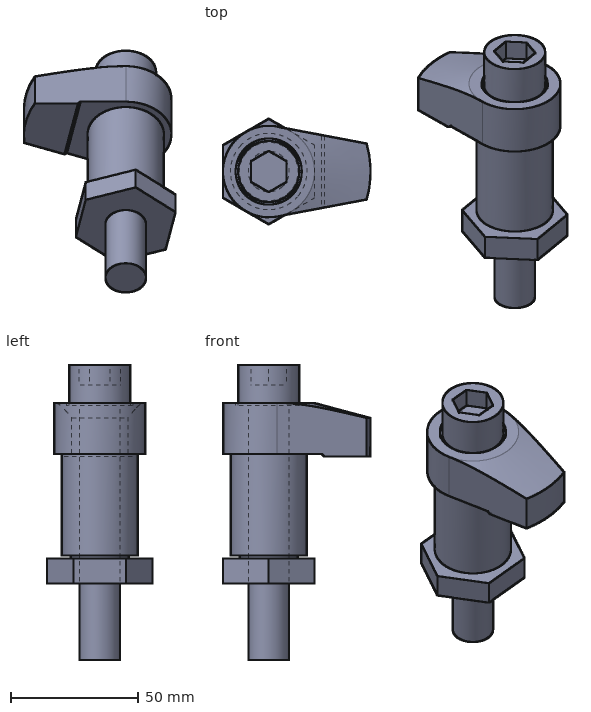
import cadquery as cq
import math

OVERALL_HEIGHT = 116.0
NUT_BOTTOM = 30.0
NUT_THICKNESS = 10.0
COLLAR_HEIGHT = 1.0
SHANK_LENGTH = 39.9
HOOK_HEIGHT = 20.1
SCREW_HEAD_HEIGHT = 16.0

NUT_TOP = NUT_BOTTOM + NUT_THICKNESS
SHANK_BOTTOM = NUT_TOP + COLLAR_HEIGHT
HOOK_BOTTOM = SHANK_BOTTOM + SHANK_LENGTH
HOOK_TOP = HOOK_BOTTOM + HOOK_HEIGHT
SEAT_Z = OVERALL_HEIGHT - SCREW_HEAD_HEIGHT

SCREW_DIAMETER = 16.0
SCREW_HEAD_DIAMETER = 24.0
SOCKET_ACROSS_FLATS = 14.0
SOCKET_DEPTH = 8.0
NUT_ACROSS_FLATS = 36.0
COLLAR_DIAMETER = 23.0
SHANK_DIAMETER = 30.0
SEAT_DIAMETER = 26.0
HUB_RADIUS = NUT_ACROSS_FLATS / 2

ARM_REACH = 40.0
TIP_HALF_WIDTH = 11.0
ARM_SLOPE_DEGREES = 15.0
PAD_START = 21.8
PAD_DROP = 1.0


def cylinder(diameter, bottom, top):
    return cq.Workplane("XY", origin=(0, 0, bottom)).circle(diameter / 2).extrude(top - bottom)


def hexagon(across_flats, bottom, top):
    """Hexagonal prism with corners on the Y axis."""
    across_corners = across_flats / math.cos(math.radians(30))
    prism = cq.Workplane("XY").polygon(6, across_corners).extrude(top - bottom)
    return prism.rotate((0, 0, 0), (0, 0, 1), 30).translate((0, 0, bottom))


def make_screw():
    head = cylinder(SCREW_HEAD_DIAMETER, SEAT_Z, OVERALL_HEIGHT)
    socket = hexagon(SOCKET_ACROSS_FLATS, OVERALL_HEIGHT - SOCKET_DEPTH, OVERALL_HEIGHT)
    return cylinder(SCREW_DIAMETER, 0, SEAT_Z).union(head).cut(socket)


def make_nut():
    nut = hexagon(NUT_ACROSS_FLATS, NUT_BOTTOM, NUT_TOP)
    nut = nut.union(cylinder(COLLAR_DIAMETER, NUT_TOP, SHANK_BOTTOM))
    return nut.cut(cylinder(SCREW_DIAMETER, NUT_BOTTOM, SHANK_BOTTOM))


def hook_outline():
    """Round hub with tangent sides running to a tip that is an arc about the screw axis."""
    tip_x = math.sqrt(ARM_REACH**2 - TIP_HALF_WIDTH**2)
    tangent_angle = math.atan2(TIP_HALF_WIDTH, tip_x) + math.acos(HUB_RADIUS / ARM_REACH)
    tangent_x = HUB_RADIUS * math.cos(tangent_angle)
    tangent_y = HUB_RADIUS * math.sin(tangent_angle)
    return (
        cq.Workplane("XY")
        .moveTo(tangent_x, -tangent_y)
        .lineTo(tip_x, -TIP_HALF_WIDTH)
        .threePointArc((ARM_REACH, 0), (tip_x, TIP_HALF_WIDTH))
        .lineTo(tangent_x, tangent_y)
        .threePointArc((-HUB_RADIUS, 0), (tangent_x, -tangent_y))
        .close()
    )


def pad_relief():
    """Space under the hook that leaves only the pad at the tip, with a 45 degree step."""
    pad_bottom = HOOK_BOTTOM - PAD_DROP
    return (
        cq.Workplane("XZ")
        .moveTo(-ARM_REACH, pad_bottom)
        .lineTo(PAD_START, pad_bottom)
        .lineTo(PAD_START - PAD_DROP, HOOK_BOTTOM)
        .lineTo(-ARM_REACH, HOOK_BOTTOM)
        .close()
        .extrude(ARM_REACH, both=True)
    )


def arm_slope():
    """Ring above the cone that falls from the hub's top edge to the arm tip."""
    outer_radius = ARM_REACH + PAD_DROP
    fall = (outer_radius - HUB_RADIUS) * math.tan(math.radians(ARM_SLOPE_DEGREES))
    return (
        cq.Workplane("XZ")
        .moveTo(HUB_RADIUS, HOOK_TOP)
        .lineTo(outer_radius, HOOK_TOP - fall)
        .lineTo(outer_radius, HOOK_TOP)
        .close()
        .revolve(360, (0, 0), (0, 1))
    )


def make_hook_clamp():
    hook = hook_outline().extrude(HOOK_HEIGHT + PAD_DROP).translate((0, 0, HOOK_BOTTOM - PAD_DROP))
    hook = hook.cut(pad_relief()).cut(arm_slope())
    hook = hook.union(cylinder(SHANK_DIAMETER, SHANK_BOTTOM, HOOK_BOTTOM))
    bore = cylinder(SCREW_DIAMETER, SHANK_BOTTOM, HOOK_TOP)
    head_seat = cylinder(SEAT_DIAMETER, SEAT_Z, HOOK_TOP)
    return hook.cut(bore).cut(head_seat)


screw = make_screw()
nut = make_nut()
hook_clamp = make_hook_clamp()

result = cq.Compound.makeCompound([screw.val(), nut.val(), hook_clamp.val()])